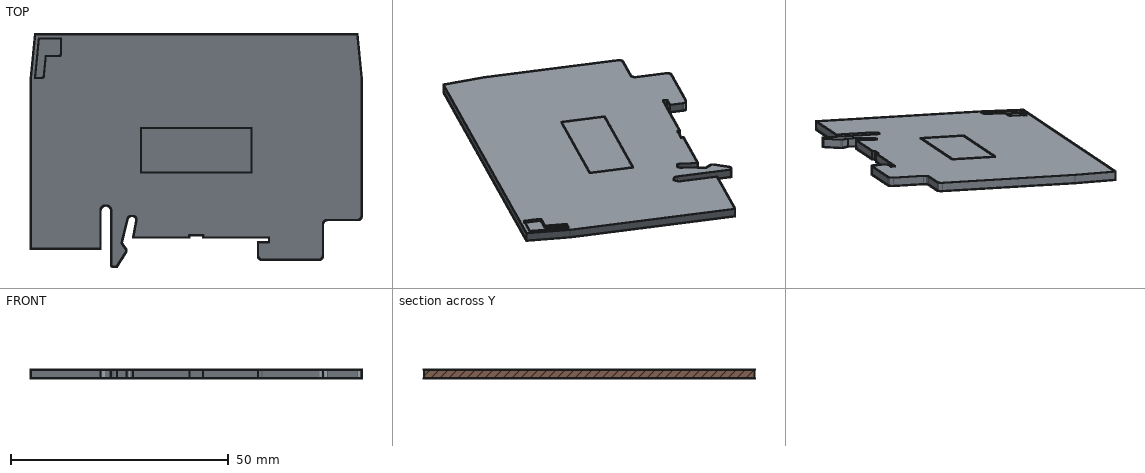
import cadquery as cq

length = 76.0
height = 53.4
thickness = 2.0
half_length = length / 2

taper_inset = 1.0
taper_height = 10.0
taper_start = height - taper_height

left_edge_level = 4.1
rail_level = 6.7
shoulder_level = 10.7

slot_left = -22.0
slot_width = 2.4
slot_radius = slot_width / 2
slot_top = 14.05
latch_left = slot_left + slot_width

latch_tip_right = -18.25
latch_tip_radius = 0.4
barb_x = -15.9
barb_level = 3.7
barb_radius = 0.4
throat_x = -17.1
throat_level = 5.5

relief_top = 11.6
relief_left = -15.6
relief_right = -13.6
relief_radius = 0.75
rail_left = -14.5

notch_width = 3.2
notch_depth = 0.5

foot_left = 14.1
foot_right = 29.1
foot_level = 1.6
undercut_depth = 2.5
undercut_height = 1.0
corner_radius = 1.0

pocket_margin = 1.0
pocket_depth = 0.5
pocket_right = -31.1
pocket_arm_height = 4.0
pocket_leg_width = 2.0
pocket_radius = 0.4

label_width = 25.3
label_height = 10.25
label_centre_y = 26.75
label_depth = 0.1


def round_corner(body, x, y, radius):
    """Round the upright edge of the plate that stands at (x, y)."""
    reach = 0.1
    lower = (x - reach, y - reach, -reach)
    upper = (x + reach, y + reach, thickness + reach)
    box = cq.selectors.BoxSelector(lower, upper)
    return body.edges("|Z").edges(box).fillet(radius)


def make_plate():
    """Full outline of the plate, with the rounded corners added afterwards."""
    plate = (
        cq.Workplane("XY")
        .moveTo(-half_length, left_edge_level)
        .lineTo(slot_left, left_edge_level)
        .lineTo(slot_left, slot_top - slot_radius)
        .threePointArc((slot_left + slot_radius, slot_top), (latch_left, slot_top - slot_radius))
        .lineTo(latch_left, 0)
        .lineTo(latch_tip_right, 0)
        .lineTo(barb_x, barb_level)
        .lineTo(throat_x, throat_level)
        .lineTo(relief_left, relief_top)
        .lineTo(relief_right, relief_top)
        .lineTo(rail_left, rail_level)
        .lineTo(-notch_width / 2, rail_level)
        .lineTo(-notch_width / 2, rail_level + notch_depth)
        .lineTo(notch_width / 2, rail_level + notch_depth)
        .lineTo(notch_width / 2, rail_level)
        .lineTo(foot_left + undercut_depth, rail_level)
        .lineTo(foot_left + undercut_depth, rail_level - undercut_height)
        .lineTo(foot_left, rail_level - undercut_height)
        .lineTo(foot_left, foot_level)
        .lineTo(foot_right, foot_level)
        .lineTo(foot_right, shoulder_level)
        .lineTo(half_length, shoulder_level)
        .lineTo(half_length, taper_start)
        .lineTo(half_length - taper_inset, height)
        .lineTo(taper_inset - half_length, height)
        .lineTo(-half_length, taper_start)
        .close()
        .extrude(thickness)
    )
    rounded_corners = [
        (latch_left, 0, latch_tip_radius),
        (barb_x, barb_level, barb_radius),
        (relief_left, relief_top, relief_radius),
        (relief_right, relief_top, relief_radius),
        (foot_left, foot_level, corner_radius),
        (foot_right, foot_level, corner_radius),
        (foot_right, shoulder_level, corner_radius),
        (half_length, shoulder_level, corner_radius),
    ]
    for x, y, radius in rounded_corners:
        plate = round_corner(plate, x, y, radius)
    return plate


def pocket_side(y):
    """X of the pocket's outer side, which follows the tapered end."""
    return -half_length + pocket_margin + taper_inset * (y - taper_start) / taper_height


def make_corner_pocket():
    top = height - pocket_margin
    arm_bottom = top - pocket_arm_height
    leg_bottom = taper_start
    leg_right = pocket_side(leg_bottom) + pocket_leg_width
    pocket = (
        cq.Workplane("XY")
        .workplane(offset=thickness - pocket_depth)
        .moveTo(pocket_side(top), top)
        .lineTo(pocket_right, top)
        .lineTo(pocket_right, arm_bottom)
        .lineTo(pocket_side(arm_bottom) + pocket_leg_width, arm_bottom)
        .lineTo(leg_right, leg_bottom)
        .lineTo(pocket_side(leg_bottom), leg_bottom)
        .close()
        .extrude(pocket_depth)
    )
    pocket = round_corner(pocket, pocket_right, arm_bottom, pocket_radius)
    return round_corner(pocket, leg_right, leg_bottom, pocket_radius)


def make_label_recess():
    return (
        cq.Workplane("XY")
        .workplane(offset=thickness - label_depth)
        .center(0, label_centre_y)
        .rect(label_width, label_height)
        .extrude(label_depth)
    )


result = make_plate().cut(make_corner_pocket()).cut(make_label_recess())